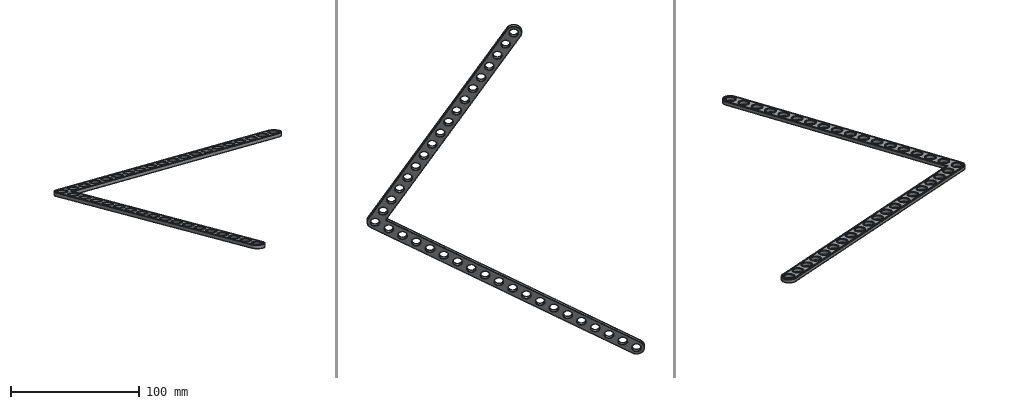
import cadquery as cq

PITCH = 12.5
WIDTH = PITCH
THICKNESS = PITCH / 4
HOLES_X = 18
HOLES_Y = 20
REACH_X = (HOLES_X - 1) * PITCH
REACH_Y = (HOLES_Y - 1) * PITCH

HOLE_DIAMETER = 7.0
EDGE_CHAMFER = 0.3

COLLAR_DIAMETER = 9.2
RIM_WIDTH = (COLLAR_DIAMETER - HOLE_DIAMETER) / 2
RECESS_DEPTH = 0.2
RECESS_FLOOR = THICKNESS - RECESS_DEPTH


def hole_centers():
    """Grid points along both arms, with the shared corner hole listed once."""
    along_x = [(i * PITCH, 0) for i in range(HOLES_X)]
    along_y = [(0, i * PITCH) for i in range(1, HOLES_Y)]
    return along_x + along_y


def make_l_body(width, bottom, height):
    """Round-ended L of the given arm width, centred on the two lines of holes."""
    plane = cq.Workplane("XY").workplane(offset=bottom)
    arm_x = plane.center(REACH_X / 2, 0).slot2D(REACH_X + width, width).extrude(height)
    arm_y = plane.center(0, REACH_Y / 2).slot2D(REACH_Y + width, width, 90).extrude(height)
    return arm_x.union(arm_y)


def make_cylinders(diameter, bottom, height):
    """One upright cylinder at every hole position."""
    plane = cq.Workplane("XY").workplane(offset=bottom)
    return plane.pushPoints(hole_centers()).circle(diameter / 2).extrude(height)


def make_plate():
    """Drilled plate with the outline and both ends of every hole chamfered."""
    blank = make_l_body(WIDTH, 0, THICKNESS)
    drilled = blank.cut(make_cylinders(HOLE_DIAMETER, 0, THICKNESS))
    return drilled.faces("<Z or >Z").edges().chamfer(EDGE_CHAMFER)


def make_recess():
    """Material removed from the top face between the rim and the collars."""
    inside_rim = make_l_body(WIDTH - 2 * RIM_WIDTH, RECESS_FLOOR, RECESS_DEPTH)
    return inside_rim.cut(make_cylinders(COLLAR_DIAMETER, RECESS_FLOOR, RECESS_DEPTH))


result = make_plate().cut(make_recess())